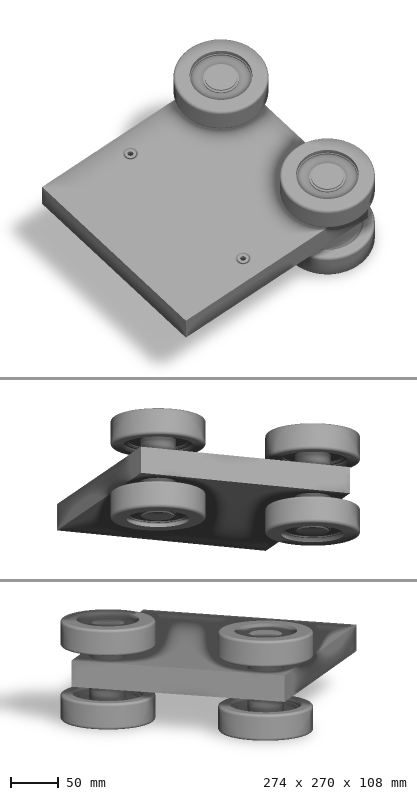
import cadquery as cq

OVERALL_WIDTH = 274.0
OVERALL_LENGTH = 270.0
OVERALL_HEIGHT = 108.0

PLATE_WIDTH = 235.0
PLATE_LENGTH = 250.4
PLATE_THICKNESS = 28.5

WHEEL_DIAMETER = 100.0
WHEEL_HEIGHT = 28.5
RIM_FILLET = 3.0
RECESS_DEPTH = 6.0

LEDGE_DIAMETER = 66.0
FLOOR_DIAMETER = 63.5
LEDGE_DEPTH = 4.7

INNER_MOUTH_DIAMETER = 76.0
INNER_WALL_DIAMETER = 72.0
INNER_WALL_DEPTH = 3.8
INNER_BEVEL_DEPTH = (INNER_MOUTH_DIAMETER - INNER_WALL_DIAMETER) / 2

AXLE_DIAMETER = 38.3
CAP_DIAMETER = 34.0
CAP_DROP = 3.0
CAP_HEIGHT = 1.6

HOLE_DIAMETER = 6.0
GROOVE_OUTER_DIAMETER = 16.0
GROOVE_INNER_DIAMETER = 12.0
GROOVE_DEPTH = 2.0
HOLE_SPACING = 184.0
HOLE_FROM_FRONT_EDGE = 100.0

AXLE_X = (OVERALL_WIDTH - WHEEL_DIAMETER) / 2
PLATE_FRONT_Y = WHEEL_DIAMETER / 2 - OVERALL_LENGTH
PLATE_TOP_Z = PLATE_THICKNESS / 2
WHEEL_TOP_Z = OVERALL_HEIGHT / 2
WHEEL_BOTTOM_Z = WHEEL_TOP_Z - WHEEL_HEIGHT
CAP_TOP_Z = WHEEL_TOP_Z - CAP_DROP


def revolve_profile(points):
    """Turn (radius, z) points into a solid of revolution about Z."""
    profile = cq.Workplane("XZ").polyline(points).close()
    return profile.revolve(360, (0, 0, 0), (0, 1, 0))


def make_plate():
    plate = cq.Workplane("XY").box(PLATE_WIDTH, PLATE_LENGTH, PLATE_THICKNESS)
    return plate.translate((0, PLATE_FRONT_Y + PLATE_LENGTH / 2, 0))


def make_hole_cutter():
    """Through hole on the Z axis together with its groove: steep inside, sloping outside."""
    hole = cq.Workplane("XY").circle(HOLE_DIAMETER / 2).extrude(PLATE_THICKNESS, both=True)
    groove = revolve_profile([
        (GROOVE_INNER_DIAMETER / 2, PLATE_TOP_Z),
        (GROOVE_INNER_DIAMETER / 2, PLATE_TOP_Z - GROOVE_DEPTH),
        (GROOVE_OUTER_DIAMETER / 2, PLATE_TOP_Z),
    ])
    return hole.union(groove)


def make_wheel():
    """Upper wheel on the Z axis, recessed on both faces."""
    disc = cq.Workplane("XY").workplane(offset=WHEEL_BOTTOM_Z)
    disc = disc.circle(WHEEL_DIAMETER / 2).extrude(WHEEL_HEIGHT).edges().fillet(RIM_FILLET)

    outer_floor_z = WHEEL_TOP_Z - RECESS_DEPTH
    outer_ledge_z = WHEEL_TOP_Z - LEDGE_DEPTH
    outer_recess = revolve_profile([
        (0, WHEEL_TOP_Z),
        (LEDGE_DIAMETER / 2, WHEEL_TOP_Z),
        (LEDGE_DIAMETER / 2, outer_ledge_z),
        (FLOOR_DIAMETER / 2, outer_ledge_z),
        (FLOOR_DIAMETER / 2, outer_floor_z),
        (0, outer_floor_z),
    ])

    inner_floor_z = WHEEL_BOTTOM_Z + RECESS_DEPTH
    inner_ledge_z = WHEEL_BOTTOM_Z + LEDGE_DEPTH
    inner_wall_z = WHEEL_BOTTOM_Z + INNER_WALL_DEPTH
    inner_recess = revolve_profile([
        (0, WHEEL_BOTTOM_Z),
        (INNER_MOUTH_DIAMETER / 2, WHEEL_BOTTOM_Z),
        (INNER_WALL_DIAMETER / 2, WHEEL_BOTTOM_Z + INNER_BEVEL_DEPTH),
        (INNER_WALL_DIAMETER / 2, inner_wall_z),
        (LEDGE_DIAMETER / 2, inner_wall_z),
        (LEDGE_DIAMETER / 2, inner_ledge_z),
        (FLOOR_DIAMETER / 2, inner_ledge_z),
        (FLOOR_DIAMETER / 2, inner_floor_z),
        (0, inner_floor_z),
    ])
    return disc.cut(outer_recess).cut(inner_recess)


def make_axle():
    """Upper half of an axle, ending in a narrower round cap."""
    shoulder_z = CAP_TOP_Z - CAP_HEIGHT
    return revolve_profile([
        (0, 0),
        (AXLE_DIAMETER / 2, 0),
        (AXLE_DIAMETER / 2, shoulder_z),
        (CAP_DIAMETER / 2, shoulder_z),
        (CAP_DIAMETER / 2, CAP_TOP_Z),
        (0, CAP_TOP_Z),
    ])


result = make_plate()

hole_y = PLATE_FRONT_Y + HOLE_FROM_FRONT_EDGE
hole_cutter = make_hole_cutter()
for side in (-1, 1):
    result = result.cut(hole_cutter.translate((side * HOLE_SPACING / 2, hole_y, 0)))

upper_roller = make_wheel().union(make_axle())
roller_pair = upper_roller.union(upper_roller.mirror("XY"))
for side in (-1, 1):
    result = result.union(roller_pair.translate((side * AXLE_X, 0, 0)))